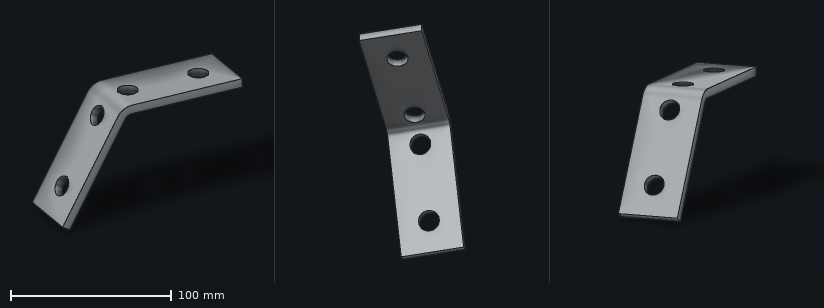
import cadquery as cq
import math

total_length = 127.5
width = 40.0
thickness = 6.0
inner_radius = 6.0
bend_angle = 60.0
hole_diameter = 13.0
hole_spacing = 50.0
hole_end_distance = 20.5

outer_radius = inner_radius + thickness
sin_bend = math.sin(math.radians(bend_angle))
cos_bend = math.cos(math.radians(bend_angle))
leg_length = (total_length - outer_radius * sin_bend) / (1 + cos_bend)
outer_hole = leg_length - hole_end_distance
inner_hole = outer_hole - hole_spacing


def make_leg():
    """Flat leg running along +Y from the bend, with its outer face at Z = 0."""
    plate = cq.Workplane("XY").box(width, leg_length, thickness, centered=(True, False, False))
    plate = plate.translate((0, 0, -thickness))
    holes = (
        cq.Workplane("XY")
        .pushPoints([(0, inner_hole), (0, outer_hole)])
        .circle(hole_diameter / 2)
        .extrude(-thickness)
    )
    return plate.cut(holes)


def make_bend():
    """Curved strip around the X-parallel bend axis at Y = 0, Z = -outer_radius."""
    def arc_point(radius, angle):
        turn = math.radians(angle)
        return (-radius * math.sin(turn), radius * math.cos(turn) - outer_radius)

    return (
        cq.Workplane("YZ")
        .moveTo(*arc_point(outer_radius, 0))
        .threePointArc(arc_point(outer_radius, bend_angle / 2), arc_point(outer_radius, bend_angle))
        .lineTo(*arc_point(inner_radius, bend_angle))
        .threePointArc(arc_point(inner_radius, bend_angle / 2), arc_point(inner_radius, 0))
        .close()
        .extrude(width / 2, both=True)
    )


upper_leg = make_leg()
lower_leg = upper_leg.mirror("XZ").rotate((0, 0, -outer_radius), (1, 0, -outer_radius), bend_angle)

result = upper_leg.union(make_bend()).union(lower_leg)